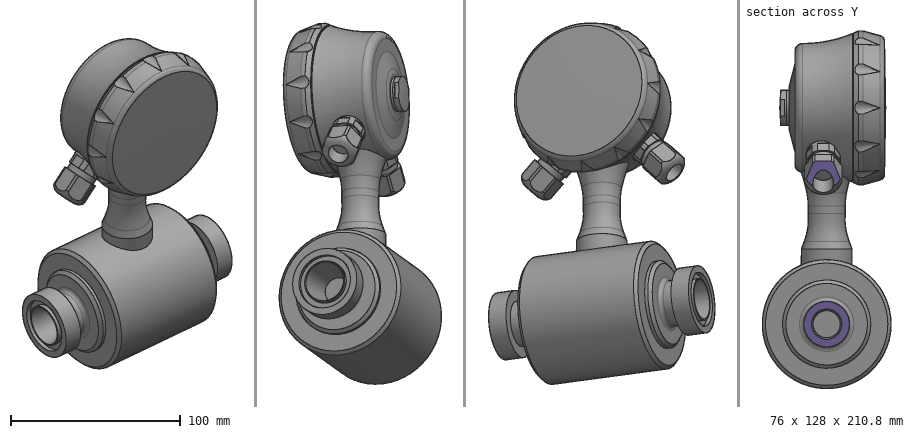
import cadquery as cq
import math


SENSOR_RADIUS = 76 / 2
SENSOR_HALF_LENGTH = 38.5
SENSOR_CHAMFER = 2.0
COLLAR_RADIUS = 52 / 2
COLLAR_HALF_LENGTH = 42.5
TUBE_RADIUS = 27 / 2
TUBE_FILLET = 2.5
FLANGE_RADIUS = 40 / 2
FLANGE_THICKNESS = 11.2
OVERALL_HALF_LENGTH = 128 / 2
SEAL_GROOVE_OUTER_RADIUS = 32 / 2
SEAL_GROOVE_INNER_RADIUS = 25 / 2
SEAL_GROOVE_DEPTH = 2.8
BORE_MOUTH_RADIUS = 23.5 / 2
BORE_FLOOR_RADIUS = 16 / 2
BORE_DEPTH = 24.0

NECK_BASE_RADIUS = 30 / 2
NECK_WAIST_RADIUS = 22 / 2
NECK_CONE_BOTTOM = 44.2
NECK_CONE_TOP = 48.7
NECK_CONE_TOP_RADIUS = 13.3
NECK_WAIST_BOTTOM = 65.2
NECK_WAIST_TOP = 69.6
NECK_SHOULDER_HEIGHT = 77.2
NECK_SHOULDER_RADIUS = 11.7
NECK_TOP = 95.0
NECK_TOP_RADIUS = 17.5

HEAD_HEIGHT = 127.4
LID_RADIUS = 45.5
HOUSING_BACK = -18.8
HOUSING_BACK_RADIUS = 76 / 2
HOUSING_FILLET = 4.7
HOUSING_FRONT_RADIUS = 43.8
CROWN_OUTER_RADIUS = 25.7
CROWN_STEP_X = -21.5
CROWN_STEP_RADIUS = 15.3
CROWN_BACK = -22.3
CROWN_BACK_RADIUS = 12.0
LID_GAP_START = 15.1
LID_GAP_WIDTH = 0.6
LID_GAP_DEPTH = 0.4
LID_BACK_RADIUS = 44.0
LID_RIM_START = 18.7
LID_RIM_END = 21.4
LID_TAPER_END = 31.4
LID_TAPER_END_RADIUS = 42.6
LID_FRONT = 34.1
LID_FILLET_REACH = 2.4
LID_DOME_RISE = 0.7

SCALLOP_COUNT = 12
SCALLOP_HALF_ANGLE = 26.0
SCALLOP_FLOOR_SLOPE = 7.1
SCALLOP_CONE_LENGTH = 30.0

PLUG_SEAT_RADIUS = 21 / 2
PLUG_RADIUS = 20.8 / 2
PLUG_SEAT_BACK = -23.8
PLUG_BACK = -27.1
PLUG_POINT_RISE = 0.6
PLUG_HALF_FLATS = 9.2
PLUG_FLATS_START = -24.8

GLAND_X = -2.0
GLAND_ANGLE = 45.0
GLAND_ROOT = 30.0
GLAND_BASE_RADIUS = 10.1
GLAND_BASE_END = 39.2
LOCKNUT_FLATS = 19.0
LOCKNUT_CORNER_DIAMETER = 20.2
LOCKNUT_END = 45.2
GLAND_SLEEVE_RADIUS = 9.0
CAP_NUT_FLATS = 20.0
CAP_NUT_CORNER_DIAMETER = 22.2
CAP_NUT_START = 49.0
CAP_ROUND_START = 60.0
CAP_ROUND_MID = 63.0
CAP_ROUND_MID_RADIUS = 9.2
GLAND_END = 64.4
GLAND_BORE_RADIUS = 12 / 2
GLAND_BORE_DEPTH = 10.0

ORIGIN = (0, 0, 0)
X_DIRECTION = (1, 0, 0)
Y_DIRECTION = (0, 1, 0)


def make_process_end():
    """Return the +Y half of the pipe sensor with its flange, seal groove and tapered blind bore."""
    flange_back = OVERALL_HALF_LENGTH - FLANGE_THICKNESS
    fillet_mid = TUBE_FILLET * (1 - math.sqrt(0.5))
    profile = (
        cq.Workplane("XY")
        .lineTo(SENSOR_RADIUS, 0)
        .lineTo(SENSOR_RADIUS, SENSOR_HALF_LENGTH - SENSOR_CHAMFER)
        .lineTo(SENSOR_RADIUS - SENSOR_CHAMFER, SENSOR_HALF_LENGTH)
        .lineTo(COLLAR_RADIUS, SENSOR_HALF_LENGTH)
        .lineTo(COLLAR_RADIUS, COLLAR_HALF_LENGTH - SENSOR_CHAMFER)
        .lineTo(COLLAR_RADIUS - SENSOR_CHAMFER, COLLAR_HALF_LENGTH)
        .lineTo(TUBE_RADIUS + TUBE_FILLET, COLLAR_HALF_LENGTH)
        .threePointArc(
            (TUBE_RADIUS + fillet_mid, COLLAR_HALF_LENGTH + fillet_mid),
            (TUBE_RADIUS, COLLAR_HALF_LENGTH + TUBE_FILLET),
        )
        .lineTo(TUBE_RADIUS, flange_back)
        .lineTo(FLANGE_RADIUS, flange_back)
        .lineTo(FLANGE_RADIUS, OVERALL_HALF_LENGTH)
        .lineTo(SEAL_GROOVE_OUTER_RADIUS, OVERALL_HALF_LENGTH)
        .lineTo(SEAL_GROOVE_OUTER_RADIUS, OVERALL_HALF_LENGTH - SEAL_GROOVE_DEPTH)
        .lineTo(SEAL_GROOVE_INNER_RADIUS, OVERALL_HALF_LENGTH - SEAL_GROOVE_DEPTH)
        .lineTo(SEAL_GROOVE_INNER_RADIUS, OVERALL_HALF_LENGTH)
        .lineTo(BORE_MOUTH_RADIUS, OVERALL_HALF_LENGTH)
        .lineTo(BORE_FLOOR_RADIUS, OVERALL_HALF_LENGTH - BORE_DEPTH)
        .lineTo(0, OVERALL_HALF_LENGTH - BORE_DEPTH)
        .close()
    )
    return profile.revolve(360, ORIGIN, Y_DIRECTION)


def make_neck():
    """Return the waisted neck, flaring at both ends, rooted inside the sensor and the head."""
    return (
        cq.Workplane("XZ")
        .lineTo(NECK_BASE_RADIUS, 0)
        .lineTo(NECK_BASE_RADIUS, NECK_CONE_BOTTOM)
        .lineTo(NECK_CONE_TOP_RADIUS, NECK_CONE_TOP)
        .tangentArcPoint((NECK_WAIST_RADIUS, NECK_WAIST_BOTTOM), relative=False)
        .lineTo(NECK_WAIST_RADIUS, NECK_WAIST_TOP)
        .tangentArcPoint((NECK_SHOULDER_RADIUS, NECK_SHOULDER_HEIGHT), relative=False)
        .tangentArcPoint((NECK_TOP_RADIUS, NECK_TOP), relative=False)
        .lineTo(0, NECK_TOP)
        .close()
        .revolve(360, ORIGIN, Y_DIRECTION)
    )


def make_head_body():
    """Return the housing and lid as one turned shape about the X axis."""
    fillet_start_radius = HOUSING_BACK_RADIUS - HOUSING_FILLET
    fillet_end = HOUSING_BACK + HOUSING_FILLET
    gap_end = LID_GAP_START + LID_GAP_WIDTH
    gap_floor = HOUSING_FRONT_RADIUS - LID_GAP_DEPTH
    return (
        cq.Workplane("XY")
        .moveTo(CROWN_BACK, 0)
        .lineTo(CROWN_BACK, CROWN_BACK_RADIUS)
        .lineTo(CROWN_STEP_X, CROWN_STEP_RADIUS)
        .lineTo(HOUSING_BACK, CROWN_OUTER_RADIUS)
        .lineTo(HOUSING_BACK, fillet_start_radius)
        .tangentArcPoint((fillet_end, HOUSING_BACK_RADIUS), relative=False)
        .tangentArcPoint((LID_GAP_START, HOUSING_FRONT_RADIUS), relative=False)
        .lineTo(LID_GAP_START, gap_floor)
        .lineTo(gap_end, gap_floor)
        .lineTo(gap_end, LID_BACK_RADIUS)
        .lineTo(LID_RIM_START, LID_RADIUS)
        .lineTo(LID_RIM_END, LID_RADIUS)
        .lineTo(LID_TAPER_END, LID_TAPER_END_RADIUS)
        .tangentArcPoint((LID_FRONT, LID_TAPER_END_RADIUS - LID_FILLET_REACH), relative=False)
        .lineTo(LID_FRONT + LID_DOME_RISE, 0)
        .close()
        .revolve(360, ORIGIN, X_DIRECTION)
    )


def make_scallop_cutter():
    """Return a cone with its tip where the lid taper ends; its lowest line rises gently toward the back."""
    base_radius = SCALLOP_CONE_LENGTH * math.tan(math.radians(SCALLOP_HALF_ANGLE))
    return (
        cq.Workplane("XZ")
        .lineTo(-SCALLOP_CONE_LENGTH, 0)
        .lineTo(-SCALLOP_CONE_LENGTH, base_radius)
        .close()
        .revolve(360, ORIGIN, X_DIRECTION)
        .rotate(ORIGIN, Y_DIRECTION, SCALLOP_HALF_ANGLE + SCALLOP_FLOOR_SLOPE)
        .translate((LID_TAPER_END, 0, LID_TAPER_END_RADIUS))
    )


def make_plug():
    """Return the blanking plug on the back of the head, with two wrench flats."""
    turned = (
        cq.Workplane("XY")
        .lineTo(0, PLUG_SEAT_RADIUS)
        .lineTo(PLUG_SEAT_BACK, PLUG_SEAT_RADIUS)
        .lineTo(PLUG_SEAT_BACK, PLUG_RADIUS)
        .lineTo(PLUG_BACK, PLUG_RADIUS)
        .lineTo(PLUG_BACK - PLUG_POINT_RISE, 0)
        .close()
        .revolve(360, ORIGIN, X_DIRECTION)
    )
    cutter_size = 2 * PLUG_RADIUS
    for side in (-1, 1):
        cutter = cq.Workplane("XY").box(cutter_size, cutter_size, cutter_size)
        cutter_x = PLUG_FLATS_START - cutter_size / 2
        cutter_y = side * (PLUG_HALF_FLATS + cutter_size / 2)
        turned = turned.cut(cutter.translate((cutter_x, cutter_y, 0)))
    return turned


def make_hex(flats, start, end):
    """Return a hexagonal prism along Z with corners on the X axis."""
    corner_diameter = flats / math.cos(math.pi / 6)
    return cq.Workplane("XY").workplane(offset=start).polygon(6, corner_diameter).extrude(end - start)


def make_cylinder(radius, start, end):
    """Return a cylinder along Z between two heights."""
    return cq.Workplane("XY").workplane(offset=start).circle(radius).extrude(end - start)


def make_gland():
    """Return one cable gland pointing along +Z from the head axis."""
    base = make_cylinder(GLAND_BASE_RADIUS, GLAND_ROOT, GLAND_BASE_END)
    sleeve = make_cylinder(GLAND_SLEEVE_RADIUS, GLAND_ROOT, CAP_NUT_START)
    locknut = make_hex(LOCKNUT_FLATS, GLAND_BASE_END, LOCKNUT_END)
    locknut = locknut.intersect(make_cylinder(LOCKNUT_CORNER_DIAMETER / 2, GLAND_BASE_END, LOCKNUT_END))
    cap_envelope = (
        cq.Workplane("XZ")
        .moveTo(0, CAP_NUT_START)
        .lineTo(CAP_NUT_CORNER_DIAMETER / 2, CAP_NUT_START)
        .lineTo(CAP_NUT_CORNER_DIAMETER / 2, CAP_ROUND_START)
        .threePointArc((CAP_ROUND_MID_RADIUS, CAP_ROUND_MID), (GLAND_BORE_RADIUS, GLAND_END))
        .lineTo(0, GLAND_END)
        .close()
        .revolve(360, ORIGIN, Y_DIRECTION)
    )
    cap_nut = make_hex(CAP_NUT_FLATS, CAP_NUT_START, GLAND_END).intersect(cap_envelope)
    bore = make_cylinder(GLAND_BORE_RADIUS, GLAND_END - GLAND_BORE_DEPTH, GLAND_END)
    return base.union(sleeve).union(locknut).union(cap_nut).cut(bore)


def make_head():
    """Return the complete head, centred on the X axis."""
    pitch = 360 / SCALLOP_COUNT
    head = make_head_body().rotate(ORIGIN, X_DIRECTION, pitch / 2)
    cutter = make_scallop_cutter()
    for index in range(SCALLOP_COUNT):
        head = head.cut(cutter.rotate(ORIGIN, X_DIRECTION, index * pitch))
    head = head.union(make_plug())
    gland = make_gland().translate((GLAND_X, 0, 0))
    for side in (-1, 1):
        head = head.union(gland.rotate(ORIGIN, X_DIRECTION, side * (180 - GLAND_ANGLE)))
    return head


process_end = make_process_end()
sensor = process_end.union(process_end.rotate(ORIGIN, X_DIRECTION, 180)).clean()
head = make_head().translate((0, 0, HEAD_HEIGHT))
result = sensor.union(make_neck()).union(head)